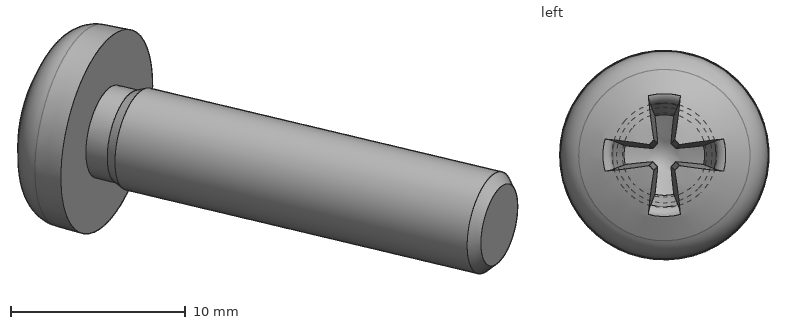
import cadquery as cq
import math

total_length = 29.55
head_height = 4.55
rim_front_x = 2.87
dome_edge_x = 1.27
neck_end_x = 5.9
thread_start_x = 6.53
tip_chamfer = 0.6

head_radius = 6.0
rim_front_radius = 5.95
dome_edge_radius = 4.9
shoulder_mid_x = 1.85
shoulder_mid_radius = 5.58
dome_radius = 9.75
neck_radius = 5.47 / 2
shank_radius = 6.0 / 2

mouth_radius = 3.52
wing_wall_radius = 2.95
floor_radius = 2.3
mouth_round_depth = 0.55
round_mid_share = 0.3
cut_clearance = 0.3
floor_x = 2.75
floor_cone_depth = 1.18
wing_reach = 4.15
mouth_root, mouth_half_width, mouth_corner = 0.62, 1.18, 0.27
deep_root, deep_half_width, deep_corner = 0.35, 0.47, 0.3


def dome_sag(radius):
    """Distance of the dome surface behind its apex at a given radius."""
    return dome_radius - math.sqrt(dome_radius**2 - radius**2)


apex_x = dome_edge_x - dome_sag(dome_edge_radius)
mouth_x = apex_x + dome_sag(mouth_radius)


def make_body():
    """Head, neck and shank turned about the X axis."""
    middle = dome_edge_radius / 2
    profile = (
        cq.Workplane("XY")
        .moveTo(apex_x, 0)
        .threePointArc((apex_x + dome_sag(middle), middle), (dome_edge_x, dome_edge_radius))
        .threePointArc((shoulder_mid_x, shoulder_mid_radius), (rim_front_x, rim_front_radius))
        .lineTo(head_height, head_radius)
        .lineTo(head_height, neck_radius)
        .lineTo(neck_end_x, neck_radius)
        .lineTo(thread_start_x, shank_radius)
        .lineTo(total_length - tip_chamfer, shank_radius)
        .lineTo(total_length, shank_radius - tip_chamfer)
        .lineTo(total_length, 0)
        .close()
    )
    return profile.revolve(360, (0, 0, 0), (1, 0, 0))


def cross_points(root, half_width, corner):
    """Outline of four flared wings with bevelled inner corners."""
    points = []
    for quarter in range(4):
        angle = quarter * math.pi / 2
        wing = [
            (root + corner, -root),
            (wing_reach, -half_width),
            (wing_reach, half_width),
            (root + corner, root),
        ]
        for u, v in wing:
            y = u * math.cos(angle) - v * math.sin(angle)
            z = u * math.sin(angle) + v * math.cos(angle)
            points.append((y, z))
    return points


def make_recess():
    """Cross-shaped driver recess with rounded wing mouths and a conical floor."""
    round_mid_x = mouth_x + round_mid_share * mouth_round_depth
    round_mid_radius = wing_wall_radius + round_mid_share * (mouth_radius - wing_wall_radius)
    front_x = apex_x - cut_clearance
    end_x = floor_x + floor_cone_depth
    cavity = (
        cq.Workplane("XY")
        .moveTo(front_x, 0)
        .lineTo(front_x, mouth_radius)
        .lineTo(mouth_x, mouth_radius)
        .threePointArc((round_mid_x, round_mid_radius), (mouth_x + mouth_round_depth, wing_wall_radius))
        .lineTo(floor_x, floor_radius)
        .lineTo(end_x, 0)
        .close()
        .revolve(360, (0, 0, 0), (1, 0, 0))
    )
    wings = (
        cq.Workplane("YZ", origin=(front_x, 0, 0))
        .polyline(cross_points(mouth_root, mouth_half_width, mouth_corner))
        .close()
        .workplane(offset=end_x - front_x)
        .polyline(cross_points(deep_root, deep_half_width, deep_corner))
        .close()
        .loft(ruled=True)
    )
    return cavity.intersect(wings)


result = make_body().cut(make_recess())